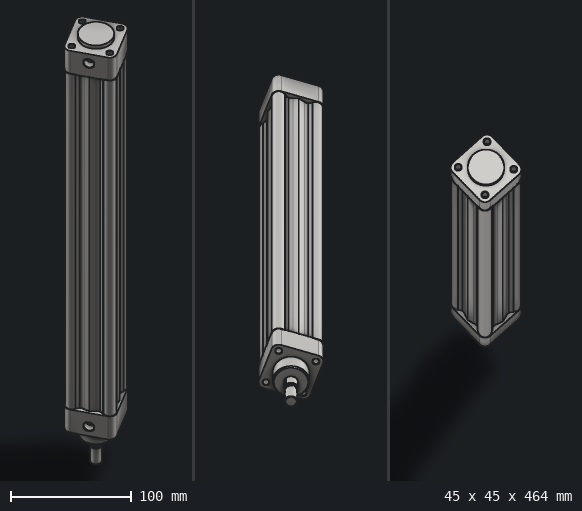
import cadquery as cq
import math


overall_length = 464.0
top_z = overall_length / 2
boss_diameter = 30.0
rear_boss_height = 3.5
front_boss_height = 16.0
boss_chamfer_height = 1.5
boss_chamfer_width = 1.0
cap_height = 25.0
rod_length = 29.5

cap_side = 45.0
bolt_offset = 16.2
bolt_hole_diameter = 5.0
bolt_hole_depth = 14.0
hole_chamfer = 0.5
countersink_angle = 90.0
port_diameter = 9.0
port_depth = 7.0
port_to_outer_face = 10.0

barrel_side = 44.0
lip_height = 20.5
groove_inner = 5.0
groove_outer = 11.5
ridge_slope = 16.0
ridge_height = lip_height
groove_depth = 2.05
floor_inner = 8.0
floor_outer = 9.0
inner_wall_sagitta = 0.25
outer_wall_sagitta = 0.25

rod_diameter = 11.5
across_flats = 10.0
collar_length = 2.5
flats_length = 7.5
undercut_length = 2.5
undercut_diameter = 8.5
thread_diameter = 10.0
thread_chamfer = 0.5

rear_cap_top = top_z - rear_boss_height
barrel_top = rear_cap_top - cap_height
rod_end = -top_z
front_boss_end = rod_end + rod_length
front_cap_bottom = front_boss_end + front_boss_height
barrel_bottom = front_cap_bottom + cap_height


def make_cap():
    """Square block standing on its inner face, outer face up, with bolt holes and a port."""
    bolt_rim_diameter = bolt_hole_diameter + 2 * hole_chamfer
    port_rim_diameter = port_diameter + 2 * hole_chamfer
    return (
        cq.Workplane("XY")
        .box(cap_side, cap_side, cap_height, centered=(True, True, False))
        .edges("|Z")
        .fillet(cap_side / 2 - bolt_offset)
        .faces(">Z")
        .workplane(origin=(0, 0, 0))
        .rect(2 * bolt_offset, 2 * bolt_offset, forConstruction=True)
        .vertices()
        .cskHole(bolt_hole_diameter, bolt_rim_diameter, countersink_angle, bolt_hole_depth)
        .faces("<Y")
        .workplane(origin=(0, 0, cap_height - port_to_outer_face))
        .cskHole(port_diameter, port_rim_diameter, countersink_angle, port_depth)
    )


def make_rear_cap():
    boss = cq.Workplane("XY", origin=(0, 0, cap_height)).circle(boss_diameter / 2).extrude(rear_boss_height)
    return make_cap().union(boss).translate((0, 0, barrel_top))


def make_front_cap():
    boss = (
        cq.Workplane("XY", origin=(0, 0, front_cap_bottom))
        .circle(boss_diameter / 2)
        .extrude(-front_boss_height)
        .faces("<Z")
        .chamfer(boss_chamfer_height, boss_chamfer_width)
    )
    block = make_cap().mirror("XY").translate((0, 0, barrel_bottom))
    return block.union(boss)


def make_barrel():
    """Extruded profile: corner rounds joined by sides with a ridge between two grooves."""
    corner_radius = barrel_side / 2 - bolt_offset
    lip_rise = lip_height - bolt_offset
    lip_end = bolt_offset - math.sqrt(corner_radius**2 - lip_rise**2)
    floor_height = lip_height - groove_depth
    ridge_foot_height = ridge_height - groove_inner * math.tan(math.radians(ridge_slope))
    corner_middle = bolt_offset + corner_radius * math.sqrt(0.5)

    def turned(x, y, quarter):
        """The point after a number of clockwise quarter turns about the axis."""
        for _ in range(quarter):
            x, y = y, -x
        return (x, y)

    outline = cq.Workplane("XY", origin=(0, 0, barrel_bottom)).moveTo(-lip_end, lip_height)
    for quarter in range(4):
        outline = (
            outline.lineTo(*turned(-groove_outer, lip_height, quarter))
            .sagittaArc(turned(-floor_outer, floor_height, quarter), -outer_wall_sagitta)
            .lineTo(*turned(-floor_inner, floor_height, quarter))
            .sagittaArc(turned(-groove_inner, ridge_foot_height, quarter), -inner_wall_sagitta)
            .lineTo(*turned(0, ridge_height, quarter))
            .lineTo(*turned(groove_inner, ridge_foot_height, quarter))
            .sagittaArc(turned(floor_inner, floor_height, quarter), -inner_wall_sagitta)
            .lineTo(*turned(floor_outer, floor_height, quarter))
            .sagittaArc(turned(groove_outer, lip_height, quarter), -outer_wall_sagitta)
            .lineTo(*turned(lip_end, lip_height, quarter))
            .threePointArc(
                turned(corner_middle, corner_middle, quarter),
                turned(lip_height, lip_end, quarter),
            )
        )
    return outline.close().extrude(barrel_top - barrel_bottom)


def make_rod():
    """Rod end below the front boss: collar, wrench flats, undercut and thread."""
    flats_top = front_boss_end - collar_length
    flats_end = flats_top - flats_length
    collar = (
        cq.Workplane("XY", origin=(0, 0, front_boss_end))
        .circle(rod_diameter / 2)
        .extrude(-collar_length)
    )
    flats_slab = (
        cq.Workplane("XY", origin=(0, 0, flats_top))
        .rect(2 * rod_diameter, across_flats)
        .extrude(-flats_length)
    )
    wrench_section = (
        cq.Workplane("XY", origin=(0, 0, flats_top))
        .circle(rod_diameter / 2)
        .extrude(-flats_length)
        .intersect(flats_slab)
    )
    undercut = (
        cq.Workplane("XY", origin=(0, 0, flats_end))
        .circle(undercut_diameter / 2)
        .extrude(-undercut_length)
    )
    thread = (
        cq.Workplane("XY", origin=(0, 0, rod_end))
        .circle(thread_diameter / 2)
        .extrude(flats_end - undercut_length - rod_end)
        .faces("<Z")
        .chamfer(thread_chamfer)
    )
    return collar.union(wrench_section).union(undercut).union(thread)


rear_cap = make_rear_cap()
barrel = make_barrel()
front_cap = make_front_cap()
rod = make_rod()

bodies = [rear_cap, barrel, front_cap, rod]
result = cq.Compound.makeCompound([body.solids().val() for body in bodies])